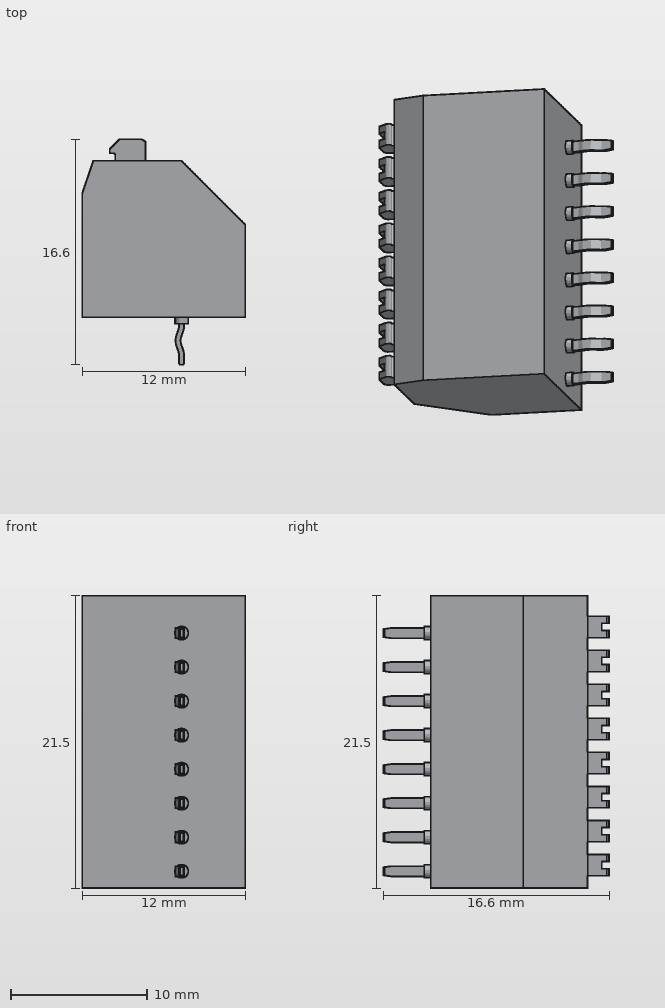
import cadquery as cq
import math

body_width = 12.0
body_depth = 11.52
body_height = 21.5
left_cut_width = 0.82
left_cut_depth = 2.4
right_cut = 4.7

contact_count = 8
contact_row_length = 17.5
contact_pitch = contact_row_length / (contact_count - 1)
first_pin_z = 1.25
first_button_z = 1.7

pin_x = 7.3
pin_reach = 3.48
collar_diameter = 0.99
collar_length = 0.47
blade_thickness = 0.39
blade_width = 0.77
bend_center = 1.7
bend_half_length = 1.1
crest_half_length = 0.37
foot_arc_length = 0.39
bend_angle = math.radians(20)
tip_length = 0.6
tip_end_width = 0.6
tip_chamfer_width = 0.09
tip_chamfer_length = 0.1

button_height = 1.6
button_width = 1.6
button_left_x = 2.43
button_right_x = 4.67
hook_overhang = 0.4
hook_underside = 0.54
hook_slope = 0.73
hook_tip_radius = 0.17
hook_edge_radius = 0.09
hook_root_radius = 0.1
button_cut_width = 0.3
button_cut_height = 0.2
notch_width = 0.52
notch_depth = 0.54

overlap = 0.22


def make_housing():
    outline = [
        (0, 0),
        (body_width, 0),
        (body_width, body_depth - right_cut),
        (body_width - right_cut, body_depth),
        (left_cut_width, body_depth),
        (0, body_depth - left_cut_depth),
    ]
    return cq.Workplane("XY").polyline(outline).close().extrude(body_height)


def make_blade():
    """Flat strip along -Y that bows towards -X and returns to the pin axis."""
    arc_slope = math.tan(bend_angle / 2)
    flank_length = bend_half_length - crest_half_length - foot_arc_length
    foot_x = -foot_arc_length * arc_slope
    flank_x = foot_x - flank_length * math.tan(bend_angle)

    foot_start = bend_center - bend_half_length
    foot_end = foot_start + foot_arc_length
    crest_start = bend_center - crest_half_length
    crest_end = bend_center + crest_half_length
    return_start = bend_center + bend_half_length - foot_arc_length
    return_end = bend_center + bend_half_length

    path = (
        cq.Workplane("XY")
        .moveTo(0, overlap)
        .lineTo(0, -foot_start)
        .tangentArcPoint((foot_x, -foot_end), relative=False)
        .lineTo(flank_x, -crest_start)
        .tangentArcPoint((flank_x, -crest_end), relative=False)
        .lineTo(foot_x, -return_start)
        .tangentArcPoint((0, -return_end), relative=False)
        .lineTo(0, tip_length - pin_reach)
    )
    section = cq.Workplane("XZ", origin=(0, overlap, 0)).rect(blade_thickness, blade_width)
    return section.sweep(path)


def make_tip():
    """Pin end that narrows along Z and is chamfered at its sides."""
    tip_start = tip_length - pin_reach
    half_thickness = blade_thickness / 2
    half_end = half_thickness - tip_chamfer_width
    side_cut = tip_chamfer_length - pin_reach
    plan = [
        (-half_thickness, tip_start),
        (-half_thickness, side_cut),
        (-half_end, -pin_reach),
        (half_end, -pin_reach),
        (half_thickness, side_cut),
        (half_thickness, tip_start),
    ]
    taper = [
        (tip_start, -blade_width / 2),
        (-pin_reach, -tip_end_width / 2),
        (-pin_reach, tip_end_width / 2),
        (tip_start, blade_width / 2),
    ]
    plan_prism = cq.Workplane("XY").polyline(plan).close().extrude(blade_width / 2, both=True)
    taper_prism = cq.Workplane("YZ").polyline(taper).close().extrude(half_thickness, both=True)
    return plan_prism.intersect(taper_prism)


def make_pin():
    collar = (
        cq.Workplane("XZ", origin=(0, overlap, 0))
        .circle(collar_diameter / 2)
        .extrude(overlap + collar_length)
    )
    return collar.union(make_blade()).union(make_tip())


def make_button():
    """Hooked button with Y = 0 on the back face and Z = 0 at its middle."""
    hook_x = button_left_x - hook_overhang
    slope_start = button_height - hook_slope
    outline = [
        (button_left_x, -overlap),
        (button_left_x, hook_underside),
        (hook_x, hook_underside),
        (hook_x, slope_start),
        (hook_x + hook_slope, button_height),
        (button_right_x - button_cut_width, button_height),
        (button_right_x, button_height - button_cut_height),
        (button_right_x, -overlap),
    ]
    button = cq.Workplane("XY").polyline(outline).close().extrude(button_width / 2, both=True)

    def edge_at(x, y):
        return cq.selectors.NearestToPointSelector((x, y, 0))

    button = button.edges("|Z").edges(edge_at(hook_x, slope_start)).fillet(hook_tip_radius)
    button = button.edges("|Z").edges(edge_at(hook_x, hook_underside)).fillet(hook_edge_radius)
    button = button.edges("|Z").edges(edge_at(button_left_x, hook_underside)).fillet(hook_root_radius)

    notch_length = 2 * button_right_x
    notch = cq.Workplane("XY", origin=(0, button_height, 0)).box(notch_length, 2 * notch_depth, notch_width)
    return button.cut(notch)


result = make_housing()
pin = make_pin()
button = make_button()
for index in range(contact_count):
    row_z = index * contact_pitch
    result = result.union(pin.translate((pin_x, 0, first_pin_z + row_z)))
    result = result.union(button.translate((0, body_depth, first_button_z + row_z)))